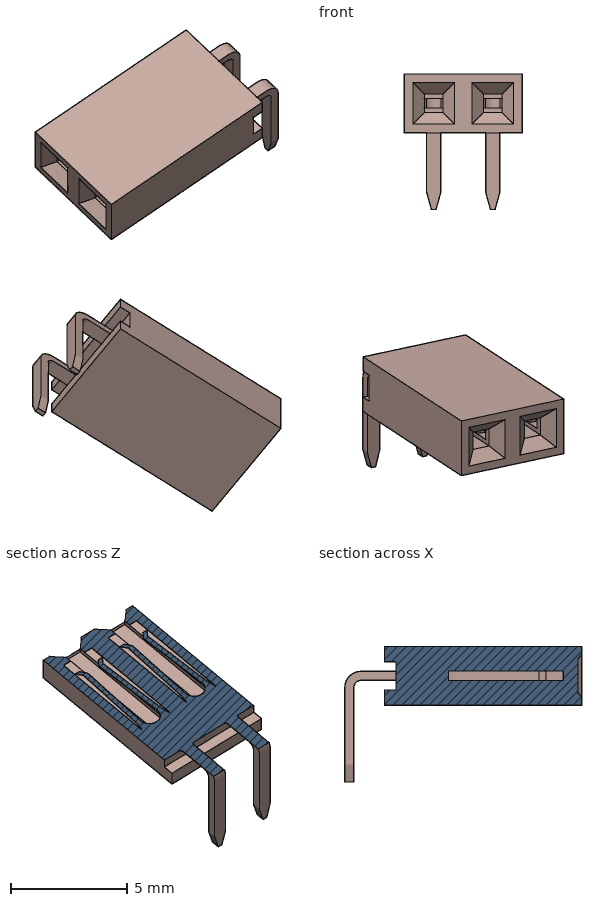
import cadquery as cq
import math


contact_count = 2
pitch = 2.54
overall_length = 10.2
overall_height = 5.84

housing_width = contact_count * pitch
housing_height = pitch
housing_length = 8.5
recess_depth = 0.5
recess_height = 1.2
recess_floor_y = housing_length - recess_depth

socket_opening = 1.8
socket_side = 0.8
socket_depth = 6.0
lead_in_depth = (socket_opening - socket_side) / 2

slot_start_y = 0.81
slot_half_width = 0.8

sheet_thickness = 0.4
tail_half_width = 0.62 / 2
shoulder_fillet = 0.09
bend_outer_radius = 0.7
bend_inner_radius = bend_outer_radius - sheet_thickness
tail_bottom_z = housing_height / 2 - overall_height
tail_tip_length = 0.75
tail_tip_half_width = 0.1

fork_root_radius = 0.47
fork_root_y = socket_depth
tine_thickness = 0.24
neck_half_gap = 0.32
neck_y = 1.84
tine_tip_y = 1.53
flare_angle = 55.0
tip_half_gap = neck_half_gap + (neck_y - tine_tip_y) / math.tan(math.radians(flare_angle))


def box_between(x_limits, y_limits, z_limits):
    """Axis-aligned box spanning the given (low, high) limits."""
    spans = [high - low for low, high in (x_limits, y_limits, z_limits)]
    corner = (x_limits[0], y_limits[0], z_limits[0])
    return cq.Workplane("XY").box(*spans, centered=False).translate(corner)


def centred(size):
    """Limits of a span of the given size, centred on zero."""
    return (-size / 2, size / 2)


def make_socket():
    """Cavity of one contact: tapered lead-in, square bore and flat side slot."""
    lead_in = (
        cq.Workplane("XZ")
        .rect(socket_opening, socket_opening)
        .workplane(offset=-lead_in_depth)
        .rect(socket_side, socket_side)
        .loft(ruled=True)
    )
    bore = box_between(centred(socket_side), (0, socket_depth), centred(socket_side))
    slot = box_between(
        centred(2 * slot_half_width), (slot_start_y, recess_floor_y), centred(sheet_thickness)
    )
    return lead_in.union(bore).union(slot)


def make_fork():
    """Flat two-tine fork whose solid base fills the rear of the slot."""
    root_side_y = fork_root_y - fork_root_radius
    half_fork = (
        cq.Workplane("XY", origin=(0, 0, -sheet_thickness / 2))
        .moveTo(0, fork_root_y)
        .radiusArc((fork_root_radius, root_side_y), fork_root_radius)
        .lineTo(neck_half_gap, neck_y)
        .lineTo(tip_half_gap, tine_tip_y)
        .lineTo(tip_half_gap + tine_thickness, tine_tip_y)
        .lineTo(neck_half_gap + tine_thickness, neck_y)
        .lineTo(fork_root_radius + tine_thickness, root_side_y)
        .lineTo(slot_half_width, fork_root_y)
        .lineTo(slot_half_width, recess_floor_y)
        .lineTo(0, recess_floor_y)
        .close()
        .extrude(sheet_thickness)
    )
    return half_fork.union(half_fork.mirror("YZ"))


def make_shoulder():
    """Flare that blends the sides of the tail into the fork base."""
    outer = tail_half_width + shoulder_fillet
    tangent_y = recess_floor_y + shoulder_fillet
    return (
        cq.Workplane("XY", origin=(0, 0, -sheet_thickness / 2))
        .moveTo(-outer, recess_floor_y)
        .radiusArc((-tail_half_width, tangent_y), -shoulder_fillet)
        .lineTo(tail_half_width, tangent_y)
        .radiusArc((outer, recess_floor_y), -shoulder_fillet)
        .close()
        .extrude(sheet_thickness)
    )


def make_tail():
    """Solder tail: straight out of the housing, bent down, tapered at the tip."""
    half_thickness = sheet_thickness / 2
    bend_y = overall_length - bend_outer_radius
    bend_z = half_thickness - bend_outer_radius
    inner_y = overall_length - sheet_thickness
    tail = (
        cq.Workplane("YZ", origin=(-tail_half_width, 0, 0))
        .moveTo(recess_floor_y, half_thickness)
        .lineTo(bend_y, half_thickness)
        .radiusArc((overall_length, bend_z), bend_outer_radius)
        .lineTo(overall_length, tail_bottom_z)
        .lineTo(inner_y, tail_bottom_z)
        .lineTo(inner_y, bend_z)
        .radiusArc((bend_y, -half_thickness), -bend_inner_radius)
        .lineTo(recess_floor_y, -half_thickness)
        .close()
        .extrude(2 * tail_half_width)
    )
    for side in (-1, 1):
        tip_corner = (
            cq.Workplane("XZ", origin=(0, overall_length, 0))
            .moveTo(side * tail_half_width, tail_bottom_z + tail_tip_length)
            .lineTo(side * tail_tip_half_width, tail_bottom_z)
            .lineTo(side * tail_half_width, tail_bottom_z)
            .close()
            .extrude(sheet_thickness)
        )
        tail = tail.cut(tip_corner)
    return tail


housing = box_between(centred(housing_width), (0, housing_length), centred(housing_height))
rear_recess = box_between(
    centred(housing_width), (recess_floor_y, housing_length), centred(recess_height)
)
result = housing.cut(rear_recess)

socket = make_socket()
contact = make_fork().union(make_shoulder()).union(make_tail())
for index in range(contact_count):
    position = ((index - (contact_count - 1) / 2) * pitch, 0, 0)
    result = result.cut(socket.translate(position)).union(contact.translate(position))